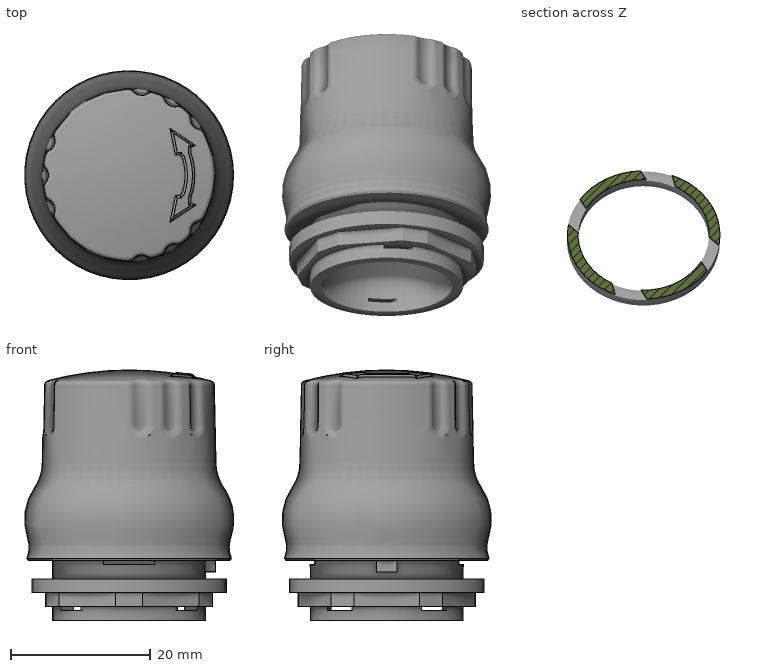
import math

import cadquery as cq

total_height = 36.02
body_radius = 15.04

neck_radius = 22.0 / 2
bore_radius = 18.8 / 2
neck_flat_offset = 10.38
neck_flat_height = 0.6

nut_bottom = 2.0
washer_bottom = 4.0
washer_top = 6.0
washer_radius = 28.0 / 2
washer_recess_radius = 26.0 / 2
washer_recess_depth = 1.0
nut_across_flats = 24.0
nut_across_corners = 25.5
half_hexagon_angle = 30

window_bottom = 1.45
window_near_y = 5.0
window_far_y = 8.0
window_edge_x = 6.93

key_reach = 12.45
key_width = 3.0
key_bottom = 7.0

skirt_bottom = 8.65
skirt_bottom_radius = 14.5
skirt_lip_z = 8.95
skirt_lip_radius = 14.7
waist_z = 10.4
waist_radius = 14.4
bulge_start_z = 12.0
bulge_start_radius = 14.64
bulge_middle_z = 14.6
bulge_end_z = 19.1
bulge_end_radius = 13.6
cap_base_z = 22.7
cap_base_radius = 12.5
cap_top_radius = 12.25
dome_edge_z = 34.32
rim_fillet = 0.6

flute_group_angles = (60, 180, 300)
flute_pitch_angle = 22
flute_radius = 1.5
flute_floor_radius = 11.6
flute_end_z = 28.15
flute_edge_fillet = 1.2

arrow_height = 0.3
arrow_slope_drop = 0.4
arrow_slope_width = 0.35
arrow_root_z = 33.0
arrow_inner_radius = 8.0
arrow_outer_radius = 9.5
arrow_tip = (5.8, 6.88)
arrow_outer_barb = (9.73, 4.24)
arrow_outer_notch = (8.95, 3.95)
arrow_outer_shaft_y = 3.2
arrow_inner_barb = (6.63, 2.83)
arrow_inner_notch = (7.3, 2.85)
arrow_inner_shaft_y = 2.5


def disc(radius, bottom, top):
    return cq.Workplane("XY").workplane(offset=bottom).circle(radius).extrude(top - bottom)


def hexagon(across_flats, bottom, top):
    across_points = across_flats / math.cos(math.radians(half_hexagon_angle))
    return cq.Workplane("XY").workplane(offset=bottom).polygon(6, across_points).extrude(top - bottom)


def point_on_circle(radius, y):
    return (math.sqrt(radius**2 - y**2), y)


def mirrored(point):
    return (point[0], -point[1])


def dome_radius():
    rise = total_height - dome_edge_z
    return (cap_top_radius**2 + rise**2) / (2 * rise)


def dome_middle():
    radius = cap_top_radius / 2
    sphere = dome_radius()
    return (radius, total_height - sphere + math.sqrt(sphere**2 - radius**2))


def make_body():
    """Skirt, bulge and tapered cap under the dome, as one turned shape."""
    rise = cap_base_z - bulge_end_z
    inset = bulge_end_radius - cap_base_radius
    blend_radius = (rise**2 + inset**2) / (2 * inset)
    half_angle = math.asin(rise / blend_radius) / 2
    blend_middle = (
        cap_base_radius + blend_radius * (1 - math.cos(half_angle)),
        cap_base_z - blend_radius * math.sin(half_angle),
    )
    profile = (
        cq.Workplane("XZ")
        .moveTo(0, total_height)
        .lineTo(0, skirt_bottom)
        .lineTo(skirt_bottom_radius, skirt_bottom)
        .lineTo(skirt_lip_radius, skirt_lip_z)
        .threePointArc((waist_radius, waist_z), (bulge_start_radius, bulge_start_z))
        .threePointArc((body_radius, bulge_middle_z), (bulge_end_radius, bulge_end_z))
        .threePointArc(blend_middle, (cap_base_radius, cap_base_z))
        .lineTo(cap_top_radius, dome_edge_z)
        .threePointArc(dome_middle(), (0, total_height))
        .close()
    )
    return profile.revolve(360, (0, 0, 0), (0, 1, 0))


def make_flute(angle):
    """Vertical groove with a ball-shaped lower end, open at the top of the cap."""
    centre = flute_floor_radius + flute_radius
    groove = disc(flute_radius, flute_end_z, total_height)
    end = cq.Workplane("XY").sphere(flute_radius).translate((0, 0, flute_end_z))
    return groove.union(end).translate((centre, 0, 0)).rotate((0, 0, 0), (0, 0, 1), angle)


def cut_flutes(body):
    for group_angle in flute_group_angles:
        for step in (-1, 0, 1):
            body = body.cut(make_flute(group_angle + step * flute_pitch_angle))
    return body


def is_flute_wall_edge(edge):
    """True for the edges that a flute leaves on the cap wall, below the rim."""
    return edge.geomType() == "BSPLINE" and edge.BoundingBox().zmin < dome_edge_z - rim_fillet


def round_cap_edges(body):
    body = body.newObject(body.edges().filter(is_flute_wall_edge).vals()).fillet(flute_edge_fillet)
    return body.faces(">Z").edges().fillet(rim_fillet)


def make_arrow():
    """Curved double arrow with sloped walls that follows the dome."""
    outer_start = point_on_circle(arrow_outer_radius, arrow_outer_shaft_y)
    inner_start = point_on_circle(arrow_inner_radius, arrow_inner_shaft_y)
    outline = (
        cq.Workplane("XY")
        .workplane(offset=arrow_root_z)
        .polyline([arrow_tip, arrow_outer_barb, arrow_outer_notch, outer_start])
        .threePointArc((arrow_outer_radius, 0), mirrored(outer_start))
        .lineTo(*mirrored(arrow_outer_notch))
        .lineTo(*mirrored(arrow_outer_barb))
        .lineTo(*mirrored(arrow_tip))
        .lineTo(*mirrored(arrow_inner_barb))
        .lineTo(*mirrored(arrow_inner_notch))
        .lineTo(*mirrored(inner_start))
        .threePointArc((arrow_inner_radius, 0), inner_start)
        .lineTo(*arrow_inner_notch)
        .lineTo(*arrow_inner_barb)
        .close()
    )
    sphere = dome_radius()
    raised_dome = cq.Workplane("XY").sphere(sphere + arrow_height).translate((0, 0, total_height - sphere))
    arrow = outline.extrude(total_height - arrow_root_z).intersect(raised_dome)
    return arrow.faces(">Z").chamfer(arrow_slope_drop, arrow_slope_width)


def make_washer():
    """Washer with a shallow round recess in its top face."""
    washer = disc(washer_radius, washer_bottom, washer_top)
    return washer.cut(disc(washer_recess_radius, washer_top - washer_recess_depth, washer_top))


def make_nut():
    """Hexagon nut with its corners cut off by a second hexagon turned half a side."""
    nut = hexagon(nut_across_flats, nut_bottom, washer_bottom)
    nut = nut.rotate((0, 0, 0), (0, 0, 1), half_hexagon_angle)
    return nut.intersect(hexagon(nut_across_corners, nut_bottom, washer_bottom))


def make_neck():
    """Plain neck with two flats just under the skirt."""
    neck = disc(neck_radius, 0, skirt_bottom)
    depth = neck_radius - neck_flat_offset
    for side in (-1, 1):
        flat = cq.Workplane("XY").box(2 * neck_radius, 2 * depth, neck_flat_height)
        neck = neck.cut(
            flat.translate((0, side * (neck_flat_offset + depth), skirt_bottom - neck_flat_height / 2))
        )
    return neck


def make_key():
    height = skirt_bottom - key_bottom
    return (
        cq.Workplane("XY")
        .box(key_reach - bore_radius, key_width, height, centered=(False, True, False))
        .translate((bore_radius, 0, key_bottom))
    )


def cut_windows(part):
    """One window per quadrant, from the bore outwards through the neck wall."""
    inside_x = math.sqrt(bore_radius**2 - window_far_y**2)
    edge_y = math.sqrt(neck_radius**2 - window_edge_x**2)
    slant = (edge_y - window_far_y) / (window_edge_x - inside_x)
    corner_y = edge_y + slant * (neck_radius - window_edge_x)
    window = (
        cq.Workplane("XY")
        .workplane(offset=window_bottom)
        .polyline(
            [
                (inside_x, window_near_y),
                (neck_radius, window_near_y),
                (neck_radius, corner_y),
                (inside_x, window_far_y),
            ]
        )
        .close()
        .extrude(nut_bottom - window_bottom)
    )
    windows = window.union(window.mirror("YZ"))
    windows = windows.union(windows.mirror("XZ"))
    return part.cut(windows)


body = round_cap_edges(cut_flutes(make_body()))
part = (
    make_neck()
    .union(make_washer())
    .union(make_nut())
    .union(make_key())
    .union(body)
    .union(make_arrow())
    .cut(disc(bore_radius, 0, skirt_bottom))
)
result = cut_windows(part)